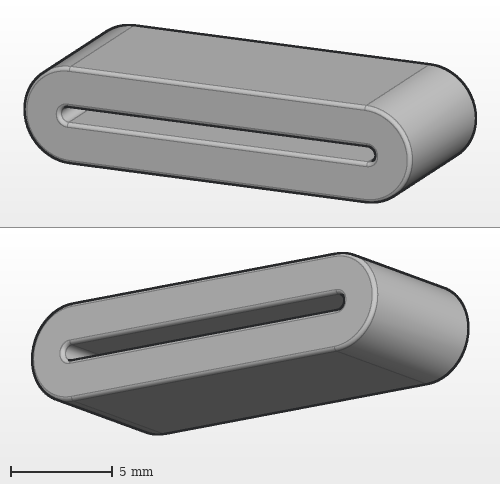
import cadquery as cq

length = 21.0
depth = 8.0
height = 5.0

slot_length = 17.0
slot_height = 0.8

rim_radius = 0.2


def stadium_bar(bar_length, bar_height):
    """Round-ended bar centred on the origin and running along Y."""
    return (
        cq.Workplane("XZ")
        .slot2D(bar_length, bar_height)
        .extrude(depth / 2, both=True)
    )


body = stadium_bar(length, height)
slot = stadium_bar(slot_length, slot_height)
sleeve = body.cut(slot)

result = sleeve.faces("<Y or >Y").edges().fillet(rim_radius)